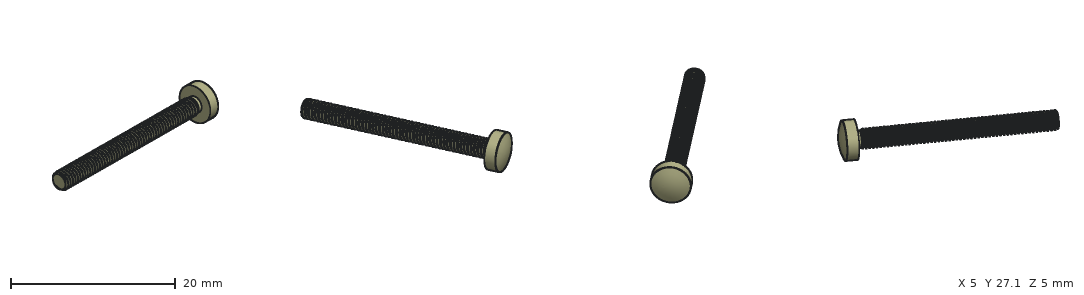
import cadquery as cq
import math

total_length = 27.08
head_diameter = 5.0
head_rim_height = 1.52
dome_height = 0.57
rim_chamfer = 0.05

thread_diameter = 2.5
root_diameter = 2.0
neck_diameter = 2.2
neck_length = 0.55
turns_per_shank = 55.6
lead_in_turns = 2
crest_share = 0.12
root_share = 0.75
tip_chamfer = 0.22
first_crest_height = 0.27
run_out_length = 0.68

root_overlap = 0.08
cutter_clearance = 0.14

seat_height = total_length - head_rim_height - dome_height
thread_end = seat_height - neck_length
pitch = seat_height / turns_per_shank
thread_radius = thread_diameter / 2
root_radius = root_diameter / 2
neck_radius = neck_diameter / 2
head_radius = head_diameter / 2
cutter_radius = thread_radius + cutter_clearance


def make_head():
    """Cylindrical rim with a chamfered edge, closed by a shallow spherical dome."""
    rim_top = seat_height + head_rim_height
    dome_radius = head_radius - rim_chamfer
    sphere_radius = (dome_radius**2 + dome_height**2) / (2 * dome_height)
    middle_angle = math.asin(dome_radius / sphere_radius) / 2
    sphere_centre = total_length - sphere_radius
    dome_middle = (
        sphere_radius * math.sin(middle_angle),
        sphere_centre + sphere_radius * math.cos(middle_angle),
    )
    return (
        cq.Workplane("XZ")
        .moveTo(0, seat_height)
        .lineTo(head_radius, seat_height)
        .lineTo(head_radius, rim_top - rim_chamfer)
        .lineTo(dome_radius, rim_top)
        .threePointArc(dome_middle, (0, total_length))
        .close()
        .revolve(360, (0, 0), (0, 1))
    )


def end_cutter(flat_radius, flat_height, cone_height, far_height):
    """Cutter for one ridge end: a flat disc, then a cone widening past the crests."""
    return (
        cq.Workplane("XZ")
        .polyline([
            (0, flat_height),
            (flat_radius, flat_height),
            (cutter_radius, cone_height),
            (cutter_radius, far_height),
            (0, far_height),
        ])
        .close()
        .revolve(360, (0, 0), (0, 1))
    )


def make_ridge():
    """Right-handed helical ridge with a chamfered tip and a tapered run-out."""
    start = first_crest_height - lead_in_turns * pitch
    inner_radius = root_radius - root_overlap
    crest_half = crest_share * pitch / 2
    root_half = root_share * pitch / 2
    flank_slope = (root_half - crest_half) / (thread_radius - root_radius)
    inner_half = root_half + flank_slope * root_overlap
    path = cq.Wire.makeHelix(pitch, thread_end - start, root_radius, cq.Vector(0, 0, start))
    ridge = (
        cq.Workplane("XZ")
        .polyline([
            (inner_radius, start - inner_half),
            (thread_radius, start - crest_half),
            (thread_radius, start + crest_half),
            (inner_radius, start + inner_half),
        ])
        .close()
        .sweep(cq.Workplane(obj=path), isFrenet=True)
    )
    tip_radius = thread_radius - tip_chamfer
    tip_cone_height = cutter_radius - tip_radius
    tip_cutter = end_cutter(tip_radius, 0, tip_cone_height, start - pitch)
    run_out_start = thread_end - run_out_length
    run_out_cutter = end_cutter(neck_radius, thread_end, run_out_start, seat_height)
    return ridge.cut(tip_cutter).cut(run_out_cutter)


core = cq.Workplane("XY").circle(root_radius).extrude(seat_height)
neck = cq.Workplane("XY").workplane(offset=thread_end).circle(neck_radius).extrude(neck_length)
upright_screw = core.union(make_ridge()).union(neck).union(make_head())

result = upright_screw.rotate((0, 0, 0), (1, 0, 0), -90)